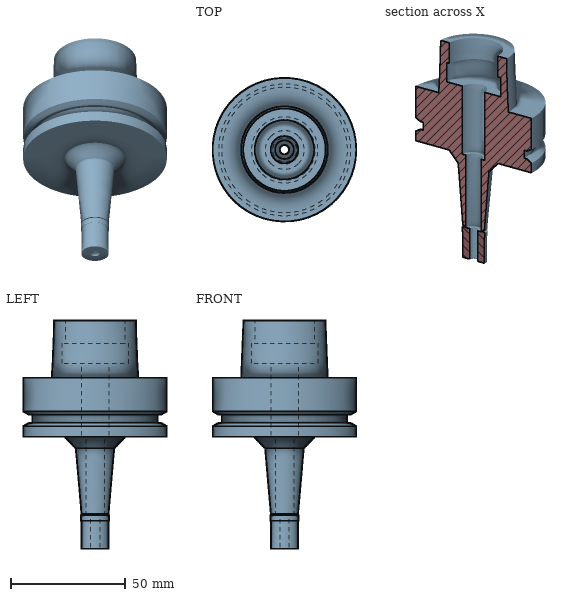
import cadquery as cq


shank_height = 25.0
shank_top_radius = 18.0
shank_base_radius = 19.0
socket_radius = 13.0
socket_lip_depth = 10.0
undercut_radius = 14.5
socket_depth = 18.8

flange_radius = 31.5
flange_height = 26.0
upper_rim_height = 14.8
lower_rim_height = 4.7
groove_chamfer_height = 1.5
groove_chamfer_width = 2.6
groove_radius = 27.5

shoulder_top_radius = 13.3
shoulder_height = 5.0
neck_top_radius = 8.5
neck_end_radius = 6.0
neck_end_z = -59.7
spigot_radius = 5.3
spigot_length = 0.6

upper_bore_radius = 6.0
lower_bore_radius = 4.1

overall_height = 100.0
sleeve_radius = 6.0
collar_radius = 6.2
collar_height = 2.4
sleeve_bore_radius = 2.0

socket_lip_z = shank_height - socket_lip_depth
socket_floor_z = shank_height - socket_depth
flange_bottom_z = -flange_height
shoulder_bottom_z = flange_bottom_z - shoulder_height
joint_z = neck_end_z - spigot_length
nose_z = shank_height - overall_height


def revolve_profile(points):
    """Revolve a closed outline of (radius, height) points about the Z axis."""
    return cq.Workplane("XZ").polyline(points).close().revolve(360, (0, 0), (0, 1))


def make_holder():
    """Shank, grooved flange and neck, with the socket and bore running through."""
    upper_rim_z = -upper_rim_height
    lower_rim_z = flange_bottom_z + lower_rim_height
    groove_top_z = upper_rim_z - groove_chamfer_height
    groove_bottom_z = lower_rim_z + groove_chamfer_height
    groove_mouth_radius = flange_radius - groove_chamfer_width

    shank = [
        (shank_top_radius, shank_height),
        (shank_base_radius, 0),
    ]
    flange = [
        (flange_radius, 0),
        (flange_radius, upper_rim_z),
        (groove_mouth_radius, groove_top_z),
        (groove_radius, groove_top_z),
        (groove_radius, groove_bottom_z),
        (groove_mouth_radius, groove_bottom_z),
        (flange_radius, lower_rim_z),
        (flange_radius, flange_bottom_z),
    ]
    neck = [
        (shoulder_top_radius, flange_bottom_z),
        (neck_top_radius, shoulder_bottom_z),
        (neck_end_radius, neck_end_z),
        (spigot_radius, neck_end_z),
        (spigot_radius, joint_z),
    ]
    bore = [
        (lower_bore_radius, joint_z),
        (lower_bore_radius, flange_bottom_z),
        (upper_bore_radius, flange_bottom_z),
        (upper_bore_radius, socket_floor_z),
    ]
    socket = [
        (undercut_radius, socket_floor_z),
        (undercut_radius, socket_lip_z),
        (socket_radius, socket_lip_z),
        (socket_radius, shank_height),
    ]
    return revolve_profile(shank + flange + neck + bore + socket)


def make_sleeve():
    """Collared tube that meets the end of the holder's spigot."""
    collar_bottom_z = joint_z - collar_height
    return revolve_profile([
        (sleeve_bore_radius, joint_z),
        (collar_radius, joint_z),
        (collar_radius, collar_bottom_z),
        (sleeve_radius, collar_bottom_z),
        (sleeve_radius, nose_z),
        (sleeve_bore_radius, nose_z),
    ])


holder = make_holder()
sleeve = make_sleeve()

result = cq.Compound.makeCompound([holder.val(), sleeve.val()])